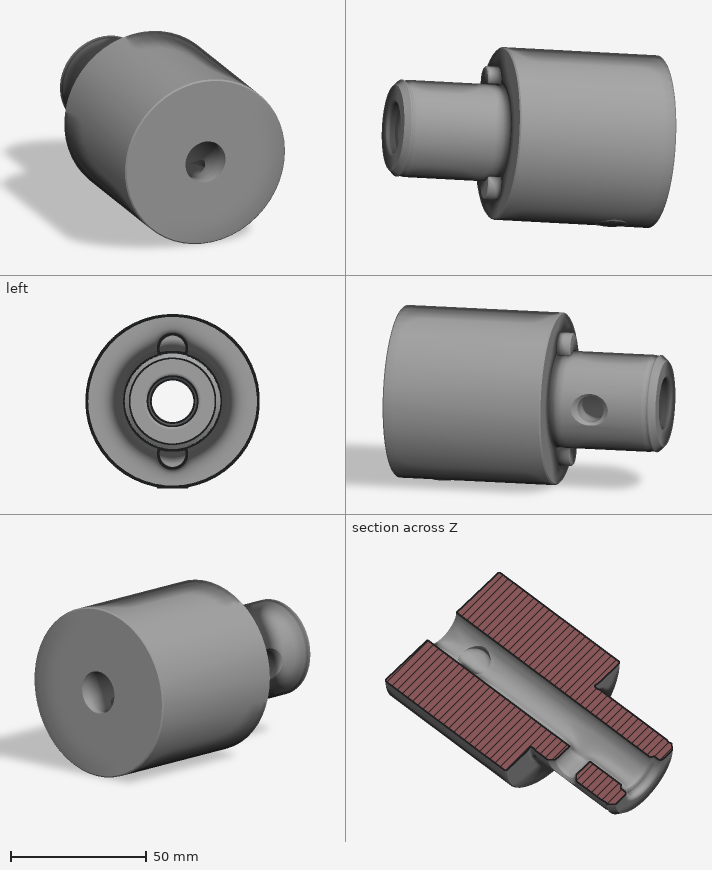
import cadquery as cq
import math


total_length = 100.0
body_radius = 32.0
body_chamfer = 0.5
shank_length = 40.0
shank_radius = 18.0

nose_radius = 15.9
lip_cone_end = 1.9
lip_cone_radius = 17.7
lip_land_start = 2.2
lip_land_end = 2.5
neck_radius = 17.7
neck_start = 3.1
neck_end = 3.5
lead_taper_end = 5.0

relief_radius = 17.7
relief_taper_start = 37.7
relief_taper_end = 38.9
relief_corner_start = 39.6
relief_corner_radius = 0.7
relief_outer_radius = 19.8

bore_radius = 8.0
mouth_radius = 9.3
mouth_round = 1.3
mouth_depth = 3.3
mouth_cone_length = 0.8

cross_hole_x = 24.6
cross_hole_radius = 5.0
countersink_radius = 7.0
countersink_depth = countersink_radius - cross_hole_radius

key_radius = 5.5
key_tip_radius = 25.0
key_centre_offset = key_tip_radius - key_radius
key_length = 5.0
key_chamfer = 0.4

plug_x = 84.0
plug_radius = 6.0
plug_outer_end = 31.9
plug_chamfer = 0.6


def x_cylinder(radius, start, length, z=0.0):
    """Cylinder parallel to X, from X = start."""
    return cq.Workplane("YZ", origin=(start, 0, z)).circle(radius).extrude(length)


def turned_blank():
    """Shank and body turned as one piece."""
    corner_x = relief_corner_start + relief_corner_radius
    corner_r = relief_radius + relief_corner_radius
    bulge = relief_corner_radius * math.sqrt(0.5)
    profile = (
        cq.Workplane("XY")
        .lineTo(0, nose_radius)
        .lineTo(lip_cone_end, lip_cone_radius)
        .tangentArcPoint((lip_land_start, shank_radius), relative=False)
        .lineTo(lip_land_end, shank_radius)
        .lineTo(neck_start, neck_radius)
        .lineTo(neck_end, neck_radius)
        .lineTo(lead_taper_end, shank_radius)
        .lineTo(relief_taper_start, shank_radius)
        .lineTo(relief_taper_end, relief_radius)
        .lineTo(relief_corner_start, relief_radius)
        .threePointArc((relief_corner_start + bulge, corner_r - bulge), (corner_x, corner_r))
        .lineTo(shank_length, relief_outer_radius)
        .lineTo(shank_length, body_radius - body_chamfer)
        .lineTo(shank_length + body_chamfer, body_radius)
        .lineTo(total_length - body_chamfer, body_radius)
        .lineTo(total_length, body_radius - body_chamfer)
        .lineTo(total_length, 0)
        .close()
    )
    return profile.revolve(360, (0, 0, 0), (1, 0, 0))


def bore():
    """Through bore with its rounded, cylindrical and conical mouth."""
    bulge = mouth_round * (1 - math.sqrt(0.5))
    profile = (
        cq.Workplane("XY")
        .lineTo(0, mouth_radius + mouth_round)
        .threePointArc((bulge, mouth_radius + bulge), (mouth_round, mouth_radius))
        .lineTo(mouth_depth, mouth_radius)
        .lineTo(mouth_depth + mouth_cone_length, bore_radius)
        .lineTo(total_length, bore_radius)
        .lineTo(total_length, 0)
        .close()
    )
    return profile.revolve(360, (0, 0, 0), (1, 0, 0))


def cross_hole():
    """Hole from the bore out through the +Y side of the shank, with a conical mouth."""
    profile = (
        cq.Workplane("XY", origin=(cross_hole_x, 0, 0))
        .lineTo(cross_hole_radius, 0)
        .lineTo(cross_hole_radius, shank_radius - countersink_depth)
        .lineTo(countersink_radius, shank_radius)
        .lineTo(0, shank_radius)
        .close()
    )
    return profile.revolve(360, (0, 0, 0), (0, 1, 0))


def plug_hole():
    """Hole from the bore out through the underside of the body."""
    return (
        cq.Workplane("XY", origin=(plug_x, 0, 0))
        .circle(plug_radius)
        .extrude(-body_radius)
    )


def make_housing():
    return turned_blank().cut(bore()).cut(cross_hole()).cut(plug_hole())


def make_key(side):
    """Drive key seated on the body face; side is +1 above the shank, -1 below.

    Its saddle follows the shank; the saddle corners and the front rim are chamfered.
    """
    start = shank_length - key_length
    key = x_cylinder(key_radius, start, key_length, side * key_centre_offset)
    key = key.cut(x_cylinder(shank_radius, start, key_length))
    lower_corners = key.edges("|X").filter(lambda edge: abs(edge.Center().z) < shank_radius)
    key = lower_corners.chamfer(key_chamfer)
    return key.faces("<X").chamfer(key_chamfer)


def make_plug():
    """Plug that fills its hole from just inside the body surface to the bore."""
    return (
        cq.Workplane("XY", origin=(plug_x, 0, -plug_outer_end))
        .circle(plug_radius)
        .extrude(plug_outer_end - bore_radius)
        .faces("<Z")
        .chamfer(plug_chamfer)
    )


housing = make_housing()
keys = [make_key(side) for side in (1, -1)]
plug = make_plug()

result = cq.Compound.makeCompound([housing.val(), *[key.val() for key in keys], plug.val()])